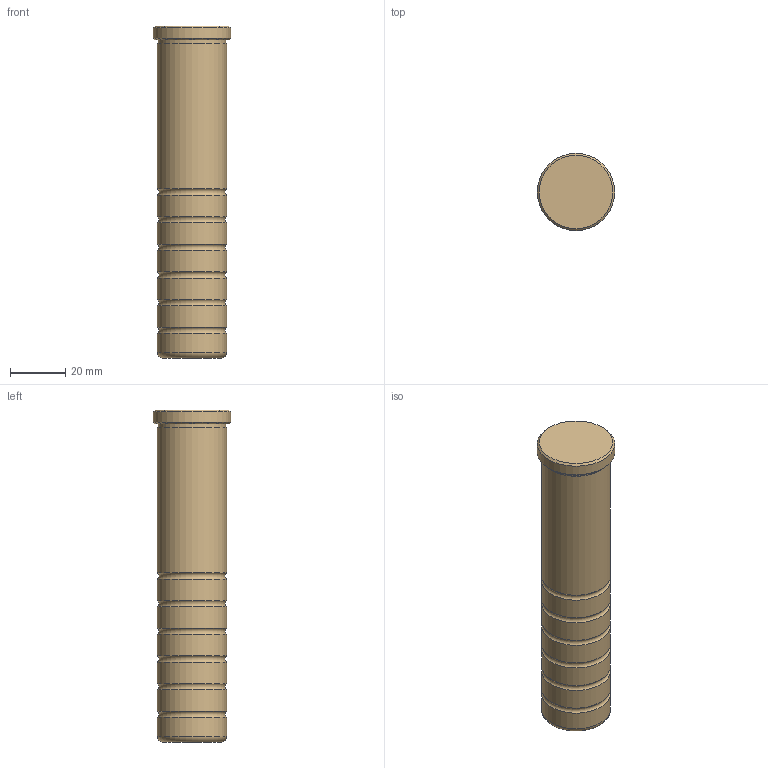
import cadquery as cq

total_length = 120.0
head_diameter = 28.0
head_height = 5.0
head_top_chamfer = 0.7
head_bottom_chamfer = 0.5
body_diameter = 25.0
neck_diameter = 24.5
neck_height = 1.25
end_fillet = 2.0
groove_count = 6
groove_pitch = 10.0
groove_width = 2.2
groove_depth = 0.6

head_radius = head_diameter / 2
body_radius = body_diameter / 2
neck_radius = neck_diameter / 2
head_bottom = total_length - head_height
neck_bottom = head_bottom - neck_height


def make_body():
    """Long plain cylinder with a rounded lower end."""
    body = cq.Workplane("XY").circle(body_radius).extrude(neck_bottom)
    return body.faces("<Z").edges().fillet(end_fillet)


def make_neck():
    """Shallow relief between the body and the head."""
    return cq.Workplane("XY").workplane(offset=neck_bottom).circle(neck_radius).extrude(neck_height)


def make_head():
    """Flanged head with both rims chamfered."""
    head = cq.Workplane("XY").workplane(offset=head_bottom).circle(head_radius).extrude(head_height)
    head = head.faces(">Z").edges().chamfer(head_top_chamfer)
    return head.faces("<Z").edges().chamfer(head_bottom_chamfer)


def make_groove(center_z):
    """Ring with a circular-arc inner side, to be cut from the body surface."""
    section = (
        cq.Workplane("XZ")
        .moveTo(body_radius, center_z - groove_width / 2)
        .threePointArc(
            (body_radius - groove_depth, center_z),
            (body_radius, center_z + groove_width / 2),
        )
        .close()
    )
    return section.revolve(360, (0, 0, 0), (0, 1, 0))


result = make_body().union(make_neck()).union(make_head())
for index in range(1, groove_count + 1):
    result = result.cut(make_groove(index * groove_pitch))